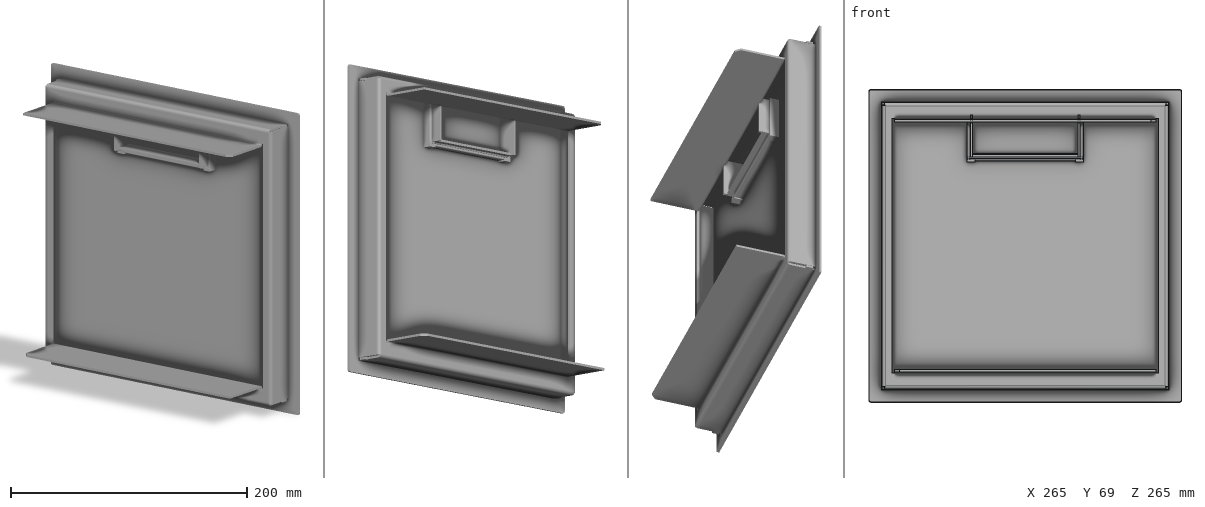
import cadquery as cq

sheet = 2.0
inner_bend = 0.93
outer_bend = inner_bend + sheet
flange_size = 265.0
flange_corner = 1.9
pan_size = 242.8
seat_depth = 0.8
seat_clearance = 0.5
pan_depth = 24.0
total_depth = 69.0

window_width = 225.9
window_height = 215.8
tab_width = 221.5
tab_corner = 4.2

notch_size = 2.0
bridge_start = 1.9
bridge_end = 7.7
seam_gap = 0.3

panel_depth = 16.7

cup_inner_width = 89.0
cup_top = 111.0
cup_floor_top = 77.5
cup_floor_depth = 13.3
frame_outer_width = 98.5
frame_ledge_bottom = 74.2
frame_bottom = 72.0
frame_foot_top = 73.2
foot_bottom = 71.0
foot_width = 7.0
frame_depth = 8.0
frame_edge_radius = 0.8

lip_front = -pan_depth
lip_back = lip_front + sheet
tab_length = total_depth - sheet - pan_depth
tab_top = window_height / 2 - inner_bend
tab_bottom = tab_top - sheet
pan_inner = pan_size - 2 * sheet
panel_front = lip_front + panel_depth
cup_outer_width = cup_inner_width + 2 * sheet
cup_floor_bottom = cup_floor_top - sheet


def box(x_range, y_range, z_range):
    """Axis-aligned block from its lower and upper limits along each axis."""
    size = [high - low for low, high in (x_range, y_range, z_range)]
    corner = (x_range[0], y_range[0], z_range[0])
    return cq.Workplane("XY").box(*size, centered=False).translate(corner)


def centred_box(width, y_range, height):
    """Block centred on the Y axis."""
    return box((-width / 2, width / 2), y_range, (-height / 2, height / 2))


def make_flange():
    """Square plate with a shallow seat for the pan."""
    plate = centred_box(flange_size, (0, sheet), flange_size)
    plate = plate.edges("|Y").fillet(flange_corner)
    seat_size = pan_size + 2 * seat_clearance
    return plate.cut(centred_box(seat_size, (0, seat_depth), seat_size))


def make_tab():
    """Upper tab folded out of the lip, with the free +X corner bevelled."""
    profile = (
        cq.Workplane("YZ")
        .moveTo(lip_front, window_height / 2)
        .radiusArc((lip_front - inner_bend, tab_top), inner_bend)
        .lineTo(lip_front - tab_length, tab_top)
        .lineTo(lip_front - tab_length, tab_bottom)
        .lineTo(lip_front - inner_bend, tab_bottom)
        .radiusArc((lip_back, window_height / 2), -outer_bend)
        .close()
    )
    tab = profile.extrude(tab_width / 2, both=True)
    return tab.faces("<Y").edges(">X").chamfer(tab_corner)


def make_corner_relief(x_side, z_side):
    """Material removed from one corner of the pan."""
    reach = pan_size / 2
    x_notch = sorted((x_side * reach, x_side * (reach - notch_size)))
    z_notch = sorted((z_side * reach, z_side * (reach - notch_size)))
    relief = box(x_notch, (lip_front, -bridge_end), z_notch)
    relief = relief.union(box(x_notch, (-bridge_start, seat_depth), z_notch))
    bridge_underside = reach - sheet
    z_seam = sorted((z_side * bridge_underside, z_side * (bridge_underside - seam_gap)))
    return relief.union(box(x_notch, (-bridge_end, -bridge_start), z_seam))


def make_pan():
    """Folded pan with a windowed lip and two outward tabs."""
    pan = centred_box(pan_size, (lip_front, seat_depth), pan_size)
    pan = pan.faces("<Y").edges().fillet(outer_bend)
    pan = pan.cut(centred_box(pan_inner, (lip_back, seat_depth), pan_inner))
    pan = pan.cut(centred_box(window_width, (lip_front, lip_back), window_height))
    for x_side in (-1, 1):
        for z_side in (-1, 1):
            pan = pan.cut(make_corner_relief(x_side, z_side))
    for turn in (0, 180):
        pan = pan.union(make_tab().rotate((0, 0, 0), (0, 1, 0), turn))
    for side in (-1, 1):
        pan = pan.cut(make_cup_side(side))
    return pan


def make_panel():
    """Flat panel that fills the inside of the pan."""
    return centred_box(pan_inner, (panel_front, panel_front + sheet), pan_inner)


def make_cup_side(side):
    """Upright wall of the cup; its front end sits in a slot in the lip."""
    x_limits = sorted((side * cup_inner_width / 2, side * cup_outer_width / 2))
    return box(x_limits, (lip_front, panel_front), (cup_floor_bottom, cup_top))


def make_cup_floor():
    """Shelf between the cup sides, with a small cove where it meets the panel."""
    profile = (
        cq.Workplane("YZ")
        .moveTo(panel_front, cup_floor_bottom)
        .lineTo(panel_front - cup_floor_depth, cup_floor_bottom)
        .lineTo(panel_front - cup_floor_depth, cup_floor_top)
        .lineTo(panel_front - inner_bend, cup_floor_top)
        .radiusArc((panel_front, cup_floor_top + inner_bend), -inner_bend)
        .close()
    )
    return profile.extrude(cup_inner_width / 2, both=True)


def make_cup_frame():
    """U-shaped frame around the cup, with a foot at each lower corner."""
    y_limits = (panel_front - frame_depth, panel_front)
    half = frame_outer_width / 2
    frame = box((-half, half), y_limits, (frame_ledge_bottom, cup_floor_bottom))
    bead = box((-half, half), y_limits, (frame_bottom, frame_ledge_bottom))
    frame = frame.union(bead.faces("<Y").edges("|X").fillet(frame_edge_radius))
    for side in (-1, 1):
        leg_x = sorted((side * cup_outer_width / 2, side * half))
        foot_x = sorted((side * (half - foot_width), side * half))
        leg = box(leg_x, y_limits, (foot_bottom, cup_top))
        frame = frame.union(leg.faces("<Y").edges("|Z").fillet(frame_edge_radius))
        frame = frame.union(box(foot_x, y_limits, (foot_bottom, frame_foot_top)))
    return frame


flange = make_flange()
pan = make_pan()
panel = make_panel()
cup_sides = [make_cup_side(side).val() for side in (-1, 1)]
cup_floor = make_cup_floor()
cup_frame = make_cup_frame()

result = cq.Compound.makeCompound(
    [flange.val(), pan.val(), panel.val(), *cup_sides, cup_floor.val(), cup_frame.val()]
)